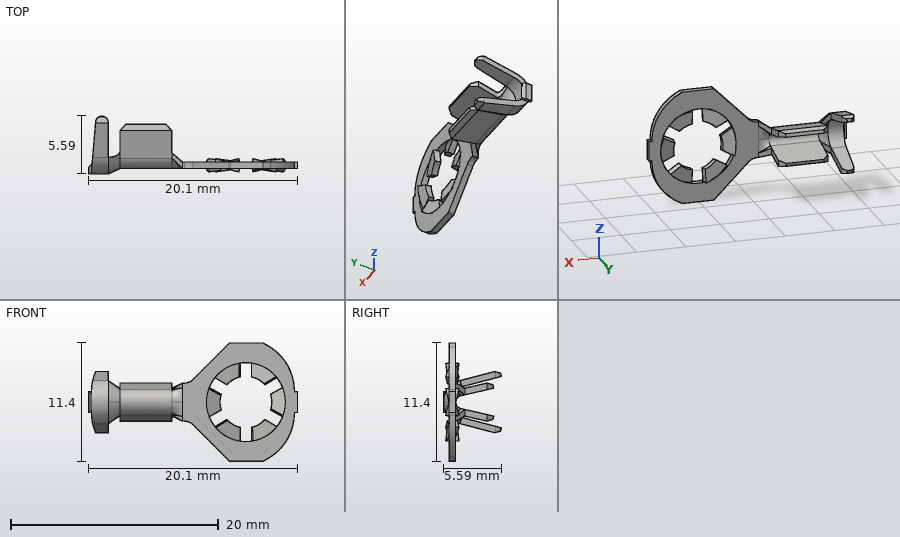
import math

import cadquery as cq

sheet = 0.64

overall_length = 20.12

ring_half_height = 5.715
hole_radius = 3.8
flat_left_x = -1.56
flat_right_x = 1.64
shoulder = (2.35, 5.30)
arc_middle = (3.80, 3.90)
arc_end = (4.68, 1.22)
tab_half_width = 1.0
tab_end_x = 4.97
neck_half_width = 1.84
neck_start_x = -6.1
neck_fillet = 1.2
flat_fillet = 0.24
neck_split = 0.75

tooth_count = 6
tooth_tip_radius = 2.48
slot_width = 1.14
tooth_twist = -14.0
tooth_trim = 0.5

wire_start_x = -12.12
wire_end_x = -7.13
wire_radius = 1.257
wire_lean = 13.0
wire_floor_y = 0.0
wire_wing_length = 3.28
wire_corner_run = 0.6
wire_corner_drop = 0.66

grip_start_x = -14.9
grip_end_x = -13.25
grip_radius = 2.16
grip_lean = 14.7
grip_floor_y = -0.533
grip_wing_length = 3.94
grip_taper = 4.8
grip_top_y = 5.057

tip_bevel_length = 0.53
tip_thickness = 0.35

stub_end_x = tab_end_x - overall_length
stub_half_width = 1.0
stub_thickness = 0.66

bridge_low_y = 1.10
bridge_high_y = 1.65
neck_wall_y = 1.53

through = 20.0


def wall_point(radius, lean, floor_y, along, depth):
    """Point (Y, Z) on the +Z wall, measured from its bend and in from its outer face."""
    angle = math.radians(lean)
    offset = radius - depth
    y = floor_y + radius - offset * math.sin(angle) + along * math.cos(angle)
    z = offset * math.cos(angle) + along * math.sin(angle)
    return y, z


def mid_bend_point(radius, lean, floor_y, depth):
    """Point (Y, Z) halfway round the bend from the floor to the +Z wall."""
    half_turn = math.radians((90 - lean) / 2)
    offset = radius - depth
    return floor_y + radius - offset * math.cos(half_turn), offset * math.sin(half_turn)


def wall_length_to(radius, lean, floor_y, depth, y):
    """Straight wall length that reaches height Y."""
    bend_y = wall_point(radius, lean, floor_y, 0, depth)[0]
    return (y - bend_y) / math.cos(math.radians(lean))


def mirror_z(point):
    """The matching (Y, Z) point on the -Z side."""
    return point[0], -point[1]


def barrel(radius, lean, floor_y, wing_length, start_x, end_x):
    """U-shaped crimp barrel with wing tips bevelled on the outside."""
    outer_bend = wall_point(radius, lean, floor_y, 0, 0)
    inner_bend = wall_point(radius, lean, floor_y, 0, sheet)
    bevel_start = wall_point(radius, lean, floor_y, wing_length - tip_bevel_length, 0)
    tip_outer = wall_point(radius, lean, floor_y, wing_length, sheet - tip_thickness)
    tip_inner = wall_point(radius, lean, floor_y, wing_length, sheet)
    return (
        cq.Workplane("YZ", origin=(start_x, 0, 0))
        .moveTo(*outer_bend)
        .lineTo(*bevel_start)
        .lineTo(*tip_outer)
        .lineTo(*tip_inner)
        .lineTo(*inner_bend)
        .threePointArc((floor_y + sheet, 0), mirror_z(inner_bend))
        .lineTo(*mirror_z(tip_inner))
        .lineTo(*mirror_z(tip_outer))
        .lineTo(*mirror_z(bevel_start))
        .lineTo(*mirror_z(outer_bend))
        .threePointArc((floor_y, 0), outer_bend)
        .close()
        .extrude(end_x - start_x)
    )


def bend_section(radius, lean, floor_y, x):
    """Closed outline at one X of the +Z half of a bend, from floor to wall."""
    return (
        cq.Workplane("YZ", origin=(x, 0, 0))
        .moveTo(floor_y, 0)
        .threePointArc(
            mid_bend_point(radius, lean, floor_y, 0),
            wall_point(radius, lean, floor_y, 0, 0),
        )
        .lineTo(*wall_point(radius, lean, floor_y, 0, sheet))
        .threePointArc(
            mid_bend_point(radius, lean, floor_y, sheet),
            (floor_y + sheet, 0),
        )
        .close()
        .val()
    )


def wall_section(radius, lean, floor_y, top_y, x):
    """Closed outline at one X of the +Z wall, from its bend to a level top."""
    outer_length = wall_length_to(radius, lean, floor_y, 0, top_y)
    inner_length = wall_length_to(radius, lean, floor_y, sheet, top_y)
    corners = [
        wall_point(radius, lean, floor_y, 0, 0),
        wall_point(radius, lean, floor_y, outer_length, 0),
        wall_point(radius, lean, floor_y, inner_length, sheet),
        wall_point(radius, lean, floor_y, 0, sheet),
    ]
    return cq.Workplane("YZ", origin=(x, 0, 0)).polyline(corners).close().val()


def flat_section(inner_z, outer_z, x):
    """Closed outline at one X of a flat strip of the sheet."""
    corners = [(0, inner_z), (0, outer_z), (sheet, outer_z), (sheet, inner_z)]
    return cq.Workplane("YZ", origin=(x, 0, 0)).polyline(corners).close().val()


def mirrored_lofts(section_pairs):
    """Ruled solids between pairs of +Z sections, joined to their mirror image."""
    half = cq.Workplane("XY")
    for start_section, end_section in section_pairs:
        half = half.union(cq.Workplane(cq.Solid.makeLoft([start_section, end_section], True)))
    return half.union(half.mirror("XY"))


def make_ring():
    """Flat eyelet with 45-degree shoulders, a short neck and an end tab."""
    diagonal_start_x = flat_left_x - (ring_half_height - neck_half_width)
    upper_half = (
        cq.Workplane("XZ")
        .moveTo(neck_start_x, neck_half_width)
        .lineTo(diagonal_start_x, neck_half_width)
        .lineTo(flat_left_x, ring_half_height)
        .lineTo(flat_right_x, ring_half_height)
        .lineTo(*shoulder)
        .threePointArc(arc_middle, arc_end)
        .lineTo(arc_end[0], 0)
        .lineTo(neck_start_x, 0)
        .close()
        .extrude(-sheet)
    )
    upper_half = upper_half.edges(
        cq.selectors.NearestToPointSelector((diagonal_start_x, sheet / 2, neck_half_width))
    ).fillet(neck_fillet)
    for flat_end_x in (flat_left_x, flat_right_x):
        upper_half = upper_half.edges(
            cq.selectors.NearestToPointSelector((flat_end_x, sheet / 2, ring_half_height))
        ).fillet(flat_fillet)
    plate = upper_half.union(upper_half.mirror("XY"))
    tab = cq.Workplane("XY").box(
        tab_end_x, sheet, 2 * tab_half_width, centered=(False, False, True)
    )
    hole = cq.Workplane("XZ").circle(hole_radius).extrude(-sheet)
    return plate.union(tab).cut(hole)


def make_tooth(angle):
    """One tooth on the +X side, twisted about its radial axis and swung to its place."""
    half_pitch = math.radians(180 / tooth_count)
    slot_edge = slot_width / 2 / math.cos(half_pitch)
    inner_x = tooth_tip_radius - tooth_trim
    inner_z = inner_x * math.tan(half_pitch) - slot_edge
    outer_x = hole_radius + tooth_trim
    outer_z = outer_x * math.tan(half_pitch) - slot_edge
    corners = [(inner_x, inner_z), (outer_x, outer_z), (outer_x, -outer_z), (inner_x, -inner_z)]
    blade = cq.Workplane("XZ").polyline(corners).close().extrude(sheet / 2, both=True)
    blade = blade.rotate((0, 0, 0), (1, 0, 0), tooth_twist)
    bore = (
        cq.Workplane("XZ")
        .circle(hole_radius)
        .circle(tooth_tip_radius)
        .extrude(through, both=True)
    )
    tooth = blade.intersect(bore).translate((0, sheet / 2, 0))
    return tooth.rotate((0, 0, 0), (0, 1, 0), angle)


def make_wire_barrel():
    """Wire crimp barrel with the corners cut off its wing tips."""
    body = barrel(
        wire_radius, wire_lean, wire_floor_y, wire_wing_length, wire_start_x, wire_end_x
    )
    tip_y = wall_point(wire_radius, wire_lean, wire_floor_y, wire_wing_length, sheet)[0]
    for corner_x, inward in ((wire_start_x, 1), (wire_end_x, -1)):
        corner = (
            cq.Workplane("XY")
            .moveTo(corner_x, tip_y)
            .lineTo(corner_x + inward * wire_corner_run, tip_y)
            .lineTo(corner_x, tip_y - wire_corner_drop)
            .close()
            .extrude(through, both=True)
        )
        body = body.cut(corner)
    return body


def make_insulation_barrel():
    """Insulation crimp barrel with tapered, round-tipped wings and the cut-off stub."""
    body = barrel(
        grip_radius, grip_lean, grip_floor_y, grip_wing_length, grip_start_x, grip_end_x
    )
    slope = math.tan(math.radians(grip_taper))
    tip_radius = (grip_end_x - grip_start_x - slope * (grip_top_y - grip_floor_y)) / 2
    round_y = grip_top_y - tip_radius
    left_x = grip_start_x + slope * (round_y - grip_floor_y)
    side = (
        cq.Workplane("XY")
        .moveTo(grip_start_x, grip_floor_y)
        .lineTo(grip_end_x, grip_floor_y)
        .lineTo(grip_end_x, round_y)
        .threePointArc(((left_x + grip_end_x) / 2, grip_top_y), (left_x, round_y))
        .close()
        .extrude(through, both=True)
    )
    stub_top_y = grip_floor_y + stub_thickness
    stub_root_x = (grip_start_x + slope * (stub_thickness - stub_end_x)) / (1 - slope)
    stub_root_y = stub_top_y + stub_root_x - stub_end_x
    stub = (
        cq.Workplane("XY", origin=(0, 0, -stub_half_width))
        .moveTo(stub_end_x, grip_floor_y)
        .lineTo(grip_start_x, grip_floor_y)
        .lineTo(stub_root_x, stub_root_y)
        .lineTo(stub_end_x, stub_top_y)
        .close()
        .extrude(2 * stub_half_width)
    )
    return body.intersect(side).union(stub)


def make_bridge():
    """Bend from the insulation barrel to the wire barrel, with a scooped top edge."""
    bend_pair = (
        bend_section(grip_radius, grip_lean, grip_floor_y, grip_end_x),
        bend_section(wire_radius, wire_lean, wire_floor_y, wire_start_x),
    )
    wall_pair = (
        wall_section(grip_radius, grip_lean, grip_floor_y, bridge_high_y, grip_end_x),
        wall_section(wire_radius, wire_lean, wire_floor_y, bridge_high_y, wire_start_x),
    )
    body = mirrored_lofts([bend_pair, wall_pair])
    run = wire_start_x - grip_end_x
    scoop = (
        cq.Workplane("XY")
        .ellipse(run, bridge_high_y - bridge_low_y)
        .extrude(through, both=True)
        .translate((grip_end_x, bridge_high_y, 0))
    )
    return body.cut(scoop)


def make_neck_bend():
    """Bend that flattens the wire barrel into the neck of the ring."""
    split_z = neck_half_width * neck_split
    bend_pair = (
        bend_section(wire_radius, wire_lean, wire_floor_y, wire_end_x),
        flat_section(0, split_z, neck_start_x),
    )
    wall_pair = (
        wall_section(wire_radius, wire_lean, wire_floor_y, neck_wall_y, wire_end_x),
        flat_section(split_z, neck_half_width, neck_start_x),
    )
    return mirrored_lofts([bend_pair, wall_pair])


result = make_ring()
for index in range(tooth_count):
    result = result.union(make_tooth(index * 360 / tooth_count))
result = result.union(make_neck_bend())
result = result.union(make_wire_barrel())
result = result.union(make_bridge())
result = result.union(make_insulation_barrel())